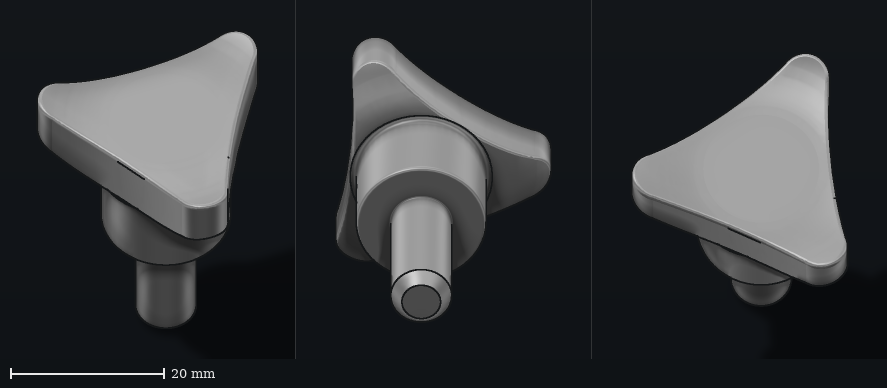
import cadquery as cq
import math

stud_diameter = 8.0
stud_radius = stud_diameter / 2
stud_chamfer_height = 1.55
stud_chamfer_width = 1.45

hub_radius = 8.5
hub_bottom = 20.0
hub_edge_fillet = 0.5
stud_root_fillet = 0.3
flare_radius = 0.8

lobe_count = 3
lobe_radius = 3.3
lobe_centre_distance = 13.75
lobe_half_sweep = 76
side_middle_distance = 9.25
dish_flat_radius = 7.58
top_flat_height = 40.28
top_dish_radius = 25.55
under_flat_height = 32.1
under_dish_radius = 15.5
head_edge_fillet = 0.5
blank_margin = 2.1

head_reach = lobe_centre_distance + lobe_radius
blank_radius = head_reach + blank_margin


def polar(radius, angle):
    """Point in the XY plane at a distance and an angle in degrees."""
    radians = math.radians(angle)
    return radius * math.cos(radians), radius * math.sin(radians)


def dish_height(flat_height, dish_radius, radius):
    """Height of a dish that rises from its flat along a tangent arc."""
    run = radius - dish_flat_radius
    return flat_height + dish_radius - math.sqrt(dish_radius**2 - run**2)


def head_outline():
    """Round lobes joined by shallow inward arcs."""
    pitch = 360 / lobe_count

    def lobe_point(lobe_angle, offset):
        centre_x, centre_y = polar(lobe_centre_distance, lobe_angle)
        x, y = polar(lobe_radius, lobe_angle + offset)
        return centre_x + x, centre_y + y

    first_angle = 90
    outline = cq.Workplane("XY").moveTo(*lobe_point(first_angle, -lobe_half_sweep))
    for index in range(lobe_count):
        angle = first_angle + index * pitch
        next_angle = angle + pitch
        outline = outline.threePointArc(lobe_point(angle, 0), lobe_point(angle, lobe_half_sweep))
        outline = outline.threePointArc(
            polar(side_middle_distance, angle + pitch / 2),
            lobe_point(next_angle, -lobe_half_sweep),
        )
    return outline.close()


def dished_blank():
    """Revolved disc with a flat centre and rising rim above and below."""
    middle_radius = (dish_flat_radius + blank_radius) / 2

    def under(radius):
        return radius, dish_height(under_flat_height, under_dish_radius, radius)

    def top(radius):
        return radius, dish_height(top_flat_height, top_dish_radius, radius)

    return (
        cq.Workplane("XZ")
        .moveTo(0, under_flat_height)
        .lineTo(*under(dish_flat_radius))
        .threePointArc(under(middle_radius), under(blank_radius))
        .lineTo(*top(blank_radius))
        .threePointArc(top(middle_radius), top(dish_flat_radius))
        .lineTo(0, top_flat_height)
        .close()
        .revolve(360, (0, 0, 0), (0, 1, 0))
    )


def make_head():
    prism = head_outline().extrude(2 * top_flat_height)
    head = prism.intersect(dished_blank())
    return head.edges("not |Z").edges("not %CIRCLE").fillet(head_edge_fillet)


def make_stem():
    """Stud and hub, with the hub flaring out under the head."""
    diagonal = math.sqrt(0.5)
    flare_start = under_flat_height - flare_radius
    flare_outer = hub_radius + flare_radius
    flare_middle = (flare_outer - flare_radius * diagonal, flare_start + flare_radius * diagonal)
    root_middle = (
        stud_radius + stud_root_fillet * (1 - diagonal),
        hub_bottom - stud_root_fillet * (1 - diagonal),
    )
    corner_middle = (
        hub_radius - hub_edge_fillet * (1 - diagonal),
        hub_bottom + hub_edge_fillet * (1 - diagonal),
    )
    return (
        cq.Workplane("XZ")
        .lineTo(stud_radius - stud_chamfer_width, 0)
        .lineTo(stud_radius, stud_chamfer_height)
        .lineTo(stud_radius, hub_bottom - stud_root_fillet)
        .threePointArc(root_middle, (stud_radius + stud_root_fillet, hub_bottom))
        .lineTo(hub_radius - hub_edge_fillet, hub_bottom)
        .threePointArc(corner_middle, (hub_radius, hub_bottom + hub_edge_fillet))
        .lineTo(hub_radius, flare_start)
        .threePointArc(flare_middle, (flare_outer, under_flat_height))
        .lineTo(0, under_flat_height)
        .close()
        .revolve(360, (0, 0, 0), (0, 1, 0))
    )


result = make_head().union(make_stem())